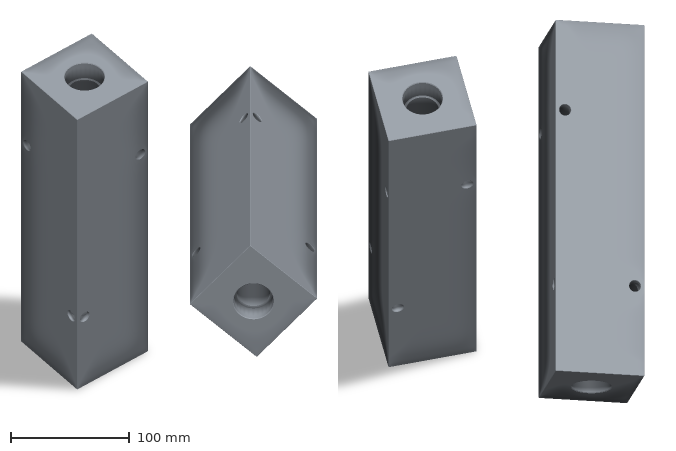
import cadquery as cq

height = 311.0
width = 76.2
edge_chamfer = 0.3

bore_diameter = 28.0
rim_diameter = 35.0
mouth_diameter = 33.5
mouth_floor_diameter = 32.5
mouth_depth = 16.8

hole_diameter = 10.0
hole_chamfer = 0.3
hole_edge_distance = 8.0
hole_end_distance = 79.3
hole_offset = width / 2 - hole_edge_distance
hole_level = height / 2 - hole_end_distance


def make_block():
    """Square bar with all its edges broken."""
    block = cq.Workplane("XY").box(width, width, height)
    return block.edges().chamfer(edge_chamfer)


def make_bore():
    """Stepped bore through the full height, the same at both ends."""
    bore_radius = bore_diameter / 2
    mouth_radius = mouth_diameter / 2
    rim_radius = rim_diameter / 2
    floor_radius = mouth_floor_diameter / 2
    top = height / 2
    rim_level = top - (rim_radius - mouth_radius)
    step_level = top - mouth_depth
    return (
        cq.Workplane("XZ")
        .moveTo(0, -top)
        .lineTo(rim_radius, -top)
        .lineTo(mouth_radius, -rim_level)
        .lineTo(floor_radius, -step_level)
        .lineTo(bore_radius, -step_level)
        .lineTo(bore_radius, step_level)
        .lineTo(floor_radius, step_level)
        .lineTo(mouth_radius, rim_level)
        .lineTo(rim_radius, top)
        .lineTo(0, top)
        .close()
        .revolve(360, (0, 0, 0), (0, 1, 0))
    )


def make_cross_hole():
    """Through hole along Y, chamfered where it meets both faces."""
    hole_radius = hole_diameter / 2
    rim_radius = hole_radius + hole_chamfer
    face = width / 2
    rim_level = face - hole_chamfer
    return (
        cq.Workplane("XY")
        .moveTo(0, -face)
        .lineTo(rim_radius, -face)
        .lineTo(hole_radius, -rim_level)
        .lineTo(hole_radius, rim_level)
        .lineTo(rim_radius, face)
        .lineTo(0, face)
        .close()
        .revolve(360, (0, 0, 0), (0, 1, 0))
    )


result = make_block().cut(make_bore())

hole_along_y = make_cross_hole()
hole_along_x = hole_along_y.rotate((0, 0, 0), (0, 0, 1), 90)
for side in (1, -1):
    level = side * hole_level
    offset = side * hole_offset
    result = result.cut(hole_along_y.translate((-offset, 0, level)))
    result = result.cut(hole_along_x.translate((0, offset, level)))